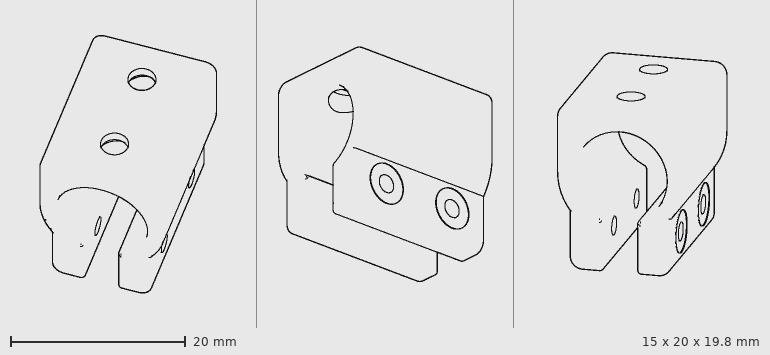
import cadquery as cq
import math

length = 20.0
body_half_width = 7.5
top_height = 8.3
body_corner_radius = 1.5

bore_radius = 5.5
slot_half_width = 2.0
tab_half_width = 6.0
tab_bottom = -11.5
tab_corner_radius = 1.5
edge_fillet = 0.5

hole_spacing = 10.0
clamp_hole_diameter = 2.2
clamp_hole_height = -7.5
clamp_seat_diameter = 5.0
clamp_seat_depth = 0.1
mount_hole_diameter = 3.2
mount_neck_length = 1.2
mount_seat_diameter = 5.5


def outer_body():
    """Block with rounded top corners and a half-round underside."""
    body = (
        cq.Workplane("XZ", origin=(0, length / 2, 0))
        .moveTo(-body_half_width, 0)
        .lineTo(-body_half_width, top_height)
        .lineTo(body_half_width, top_height)
        .lineTo(body_half_width, 0)
        .threePointArc((0, -body_half_width), (-body_half_width, 0))
        .close()
        .extrude(length)
    )
    body = body.edges("|Y and >Z").fillet(body_corner_radius)
    return body.faces("<Y or >Y").edges().fillet(edge_fillet)


def tab_block():
    """Block below the bore axis that the slot splits into the two clamping tabs."""
    tabs = cq.Workplane("XY", origin=(0, 0, tab_bottom)).rect(2 * tab_half_width, length).extrude(-tab_bottom)
    tabs = tabs.edges("|Y and <Z").fillet(tab_corner_radius)
    return tabs.faces("<Y or >Y").edges("not >Z").fillet(edge_fillet)


def cut_bore_and_slot(clamp):
    """Cut the bore and the slot below it, then round every edge of the opening."""
    bore = cq.Workplane("XZ", origin=(0, length / 2, 0)).circle(bore_radius).extrude(length)
    slot = cq.Workplane("XY").rect(2 * slot_half_width, length).extrude(tab_bottom)
    clamp = clamp.cut(bore).cut(slot)

    middle_reach = slot_half_width + edge_fillet
    slot_zone = cq.selectors.BoxSelector((-middle_reach, -length, 2 * tab_bottom), (middle_reach, length, 0))
    clamp = clamp.edges("|Y").edges(slot_zone).fillet(edge_fillet)

    for end_face, y in (("<Y", -length / 2), (">Y", length / 2)):
        bore_arc = cq.selectors.NearestToPointSelector((0, y, 0))
        clamp = clamp.faces(end_face).edges(bore_arc).fillet(edge_fillet)
    return clamp


def cut_clamp_screw(clamp, y):
    """Cut a screw hole across both tabs, with a shallow head seat on the -X face."""
    hole_plane = cq.Workplane("YZ", origin=(-tab_half_width, y, clamp_hole_height))
    hole = hole_plane.circle(clamp_hole_diameter / 2).extrude(2 * tab_half_width)
    seat = hole_plane.circle(clamp_seat_diameter / 2).extrude(clamp_seat_depth)
    return clamp.cut(hole).cut(seat)


def cut_mount_screw(clamp, y):
    """Cut a screw hole through the top wall, widened for the head on the bore side."""
    hole = cq.Workplane("XY", origin=(0, y, 0)).circle(mount_hole_diameter / 2).extrude(top_height)
    seat = cq.Workplane("XY", origin=(0, y, 0)).circle(mount_seat_diameter / 2)
    return clamp.cut(hole).cut(seat.extrude(top_height - mount_neck_length))


result = cut_bore_and_slot(outer_body().union(tab_block()))
for hole_y in (-hole_spacing / 2, hole_spacing / 2):
    result = cut_clamp_screw(result, hole_y)
    result = cut_mount_screw(result, hole_y)